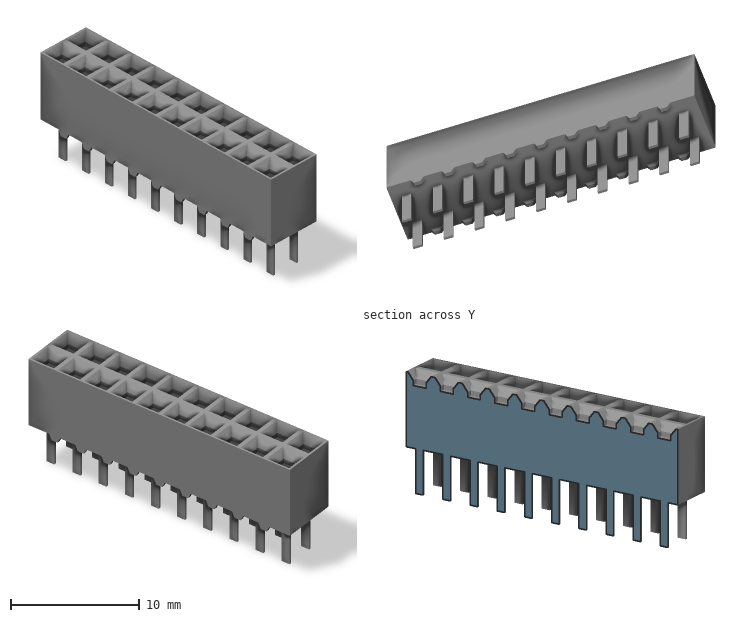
import cadquery as cq

columns = 10
rows = 2
pitch = 2.54

body_length = columns * pitch
body_width = 5.03
overall_height = 9.91
pin_length = 3.68
body_height = overall_height - pin_length

entry_length = 2.17
entry_width = 2.16
throat_length = 1.16
throat_width = 0.9
funnel_depth = 0.63
throat_depth = 0.41

pin_width = 0.76
pin_thickness = 0.2

tooth_height = 0.51
tooth_root_width = 1.07
tooth_tip_width = 0.56
tooth_thickness = 0.3


def centred_positions(count):
    """Pitch-spaced coordinates centred on zero."""
    return [(index - (count - 1) / 2) * pitch for index in range(count)]


column_positions = centred_positions(columns)
row_positions = centred_positions(rows)
contact_positions = [(x, y) for x in column_positions for y in row_positions]
tooth_positions = centred_positions(columns - 1)


def make_body():
    return cq.Workplane("XY").box(body_length, body_width, body_height, centered=(True, True, False))


def make_entry():
    """Tapered funnel with a straight-sided throat below, centred on the Z axis."""
    funnel = (
        cq.Workplane("XY")
        .workplane(offset=body_height)
        .rect(entry_length, entry_width)
        .workplane(offset=-funnel_depth)
        .rect(throat_length, throat_width)
        .loft(ruled=True)
    )
    throat = (
        cq.Workplane("XY")
        .workplane(offset=body_height - funnel_depth)
        .rect(throat_length, throat_width)
        .extrude(-throat_depth)
    )
    return funnel.union(throat)


def make_pins():
    return (
        cq.Workplane("XY")
        .pushPoints(contact_positions)
        .rect(pin_width, pin_thickness)
        .extrude(-pin_length)
    )


def make_tooth(x, outer_y):
    """Trapezoidal tooth whose +Y face lies at outer_y."""
    return (
        cq.Workplane("XZ", origin=(x, outer_y, 0))
        .moveTo(-tooth_root_width / 2, 0)
        .lineTo(-tooth_tip_width / 2, -tooth_height)
        .lineTo(tooth_tip_width / 2, -tooth_height)
        .lineTo(tooth_root_width / 2, 0)
        .close()
        .extrude(tooth_thickness)
    )


result = make_body()

entry = make_entry()
for x, y in contact_positions:
    result = result.cut(entry.translate((x, y, 0)))

for x in tooth_positions:
    for tooth_y in (body_width / 2, -body_width / 2 + tooth_thickness):
        result = result.union(make_tooth(x, tooth_y))

result = result.union(make_pins())